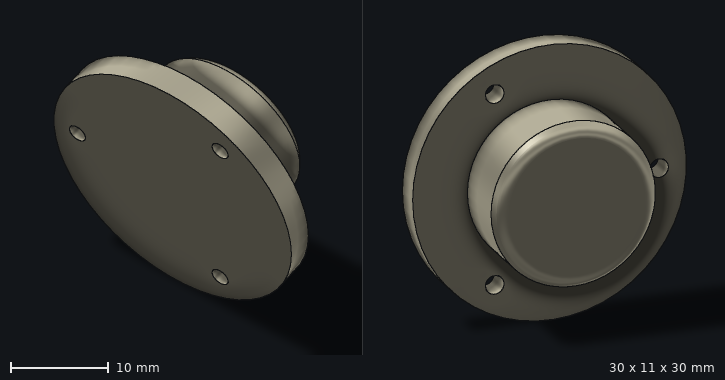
import cadquery as cq
import math

flange_diameter = 30.0
flange_thickness = 3.0

boss_diameter = 18.0
overall_depth = 11.0
rim_chamfer_depth = 1.2
rim_chamfer_width = 0.8
rim_fillet = 1.35

hole_diameter = 2.0
hole_circle_diameter = 24.0
hole_count = 3


def make_boss():
    """Boss whose rim is bevelled, then rounded where the bevel meets the end face."""
    bevel_start_y = overall_depth - rim_chamfer_depth
    radius = boss_diameter / 2
    profile = [
        (0, flange_thickness),
        (radius, flange_thickness),
        (radius, bevel_start_y),
        (radius - rim_chamfer_width, overall_depth),
        (0, overall_depth),
    ]
    boss = cq.Workplane("XY").polyline(profile).close().revolve(360, (0, 0, 0), (0, 1, 0))
    return boss.faces(">Y").edges().fillet(rim_fillet)


def hole_positions():
    """X, Z centres of the flange holes."""
    radius = hole_circle_diameter / 2
    angles = [math.pi + 2 * math.pi * i / hole_count for i in range(hole_count)]
    return [(radius * math.cos(a), radius * math.sin(a)) for a in angles]


flange = cq.Workplane("XZ").circle(flange_diameter / 2).extrude(-flange_thickness)
holes = (
    cq.Workplane("XZ")
    .pushPoints(hole_positions())
    .circle(hole_diameter / 2)
    .extrude(-flange_thickness)
)

result = flange.cut(holes).union(make_boss())